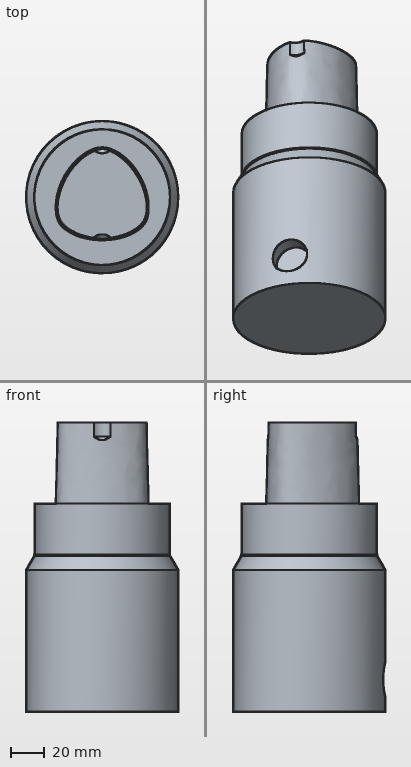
import cadquery as cq
import math

TOTAL_HEIGHT = 171.0
BODY_DIAMETER = 90.0
FLANGE_DIAMETER = 79.98
SHANK_LENGTH = 48.0
FLANGE_HEIGHT = 30.0
COLLAR_STEP = 0.2
COLLAR_HEIGHT = 0.85
CONE_HALF_ANGLE = 30.0

SHANK_BASE_WIDTH = 55.0
SHANK_TAPER = 1 / 20
LOBE_ECCENTRICITY = 2.0
LOBE_CURVE_POINTS = 48

KEYWAY_DIAMETER = 13.0
KEYWAY_CUT = 2.4
KEYWAY_DEPTH = 8.3
DRILL_POINT_ANGLE = 100.0

SIDE_HOLE_DIAMETER = 21.0
SIDE_HOLE_HEIGHT = 19.2
SIDE_HOLE_DEPTH = SIDE_HOLE_DIAMETER / 2

body_radius = BODY_DIAMETER / 2
flange_radius = FLANGE_DIAMETER / 2
flange_top = TOTAL_HEIGHT - SHANK_LENGTH
flange_bottom = flange_top - FLANGE_HEIGHT
collar_radius = flange_radius + COLLAR_STEP
collar_bottom = flange_bottom - COLLAR_HEIGHT
cone_height = (body_radius - collar_radius) / math.tan(math.radians(CONE_HALF_ANGLE))
cone_bottom = collar_bottom - cone_height
shank_top_width = SHANK_BASE_WIDTH - SHANK_TAPER * SHANK_LENGTH


def turned_body():
    """Cylindrical body, cone, thin collar and flange as one revolved profile."""
    profile = [
        (0, 0),
        (body_radius, 0),
        (body_radius, cone_bottom),
        (collar_radius, collar_bottom),
        (collar_radius, flange_bottom),
        (flange_radius, flange_bottom),
        (flange_radius, flange_top),
        (0, flange_top),
    ]
    return cq.Workplane("XZ").polyline(profile).close().revolve(360, (0, 0), (0, 1))


def lobe_point(width, turn):
    """Point on a constant-width, three-lobed curve; turn runs from 0 to 1."""
    angle = 2 * math.pi * turn
    reach = width / 2 + LOBE_ECCENTRICITY * math.cos(3 * angle)
    slope = -3 * LOBE_ECCENTRICITY * math.sin(3 * angle)
    along_lobe = reach * math.cos(angle) - slope * math.sin(angle)
    across_lobe = reach * math.sin(angle) + slope * math.cos(angle)
    return (-across_lobe, along_lobe)


def lobe_wire(width, height):
    """Closed three-lobed outline at the given height."""
    points = []
    for step in range(LOBE_CURVE_POINTS):
        x, y = lobe_point(width, step / LOBE_CURVE_POINTS)
        points.append(cq.Vector(x, y, height))
    return cq.Wire.assembleEdges([cq.Edge.makeSpline(points, periodic=True)])


def shank():
    """Tapered shank lofted from its base outline to its top outline."""
    base = lobe_wire(SHANK_BASE_WIDTH, flange_top)
    top = lobe_wire(shank_top_width, TOTAL_HEIGHT)
    return cq.Workplane(cq.Solid.makeLoft([base, top], True))


def keyway(side):
    """Vertical drilled pocket with a conical tip; side is +1 for +Y, -1 for -Y."""
    radius = KEYWAY_DIAMETER / 2
    surface_y = side * shank_top_width / 2 + LOBE_ECCENTRICITY
    axis_y = surface_y + side * (radius - KEYWAY_CUT)
    tip_length = radius / math.tan(math.radians(DRILL_POINT_ANGLE / 2))
    profile = [
        (0, 0),
        (radius, 0),
        (radius, -KEYWAY_DEPTH),
        (0, -KEYWAY_DEPTH - tip_length),
    ]
    drill = cq.Workplane("XZ").polyline(profile).close().revolve(360, (0, 0), (0, 1))
    return drill.translate((0, axis_y, TOTAL_HEIGHT))


def side_hole():
    """Radial flat-bottomed hole entering the body from +Y."""
    entry = cq.Workplane("XZ", origin=(0, body_radius, SIDE_HOLE_HEIGHT))
    return entry.circle(SIDE_HOLE_DIAMETER / 2).extrude(SIDE_HOLE_DEPTH)


result = turned_body().union(shank())
for keyway_side in (1, -1):
    result = result.cut(keyway(keyway_side))
result = result.cut(side_hole())